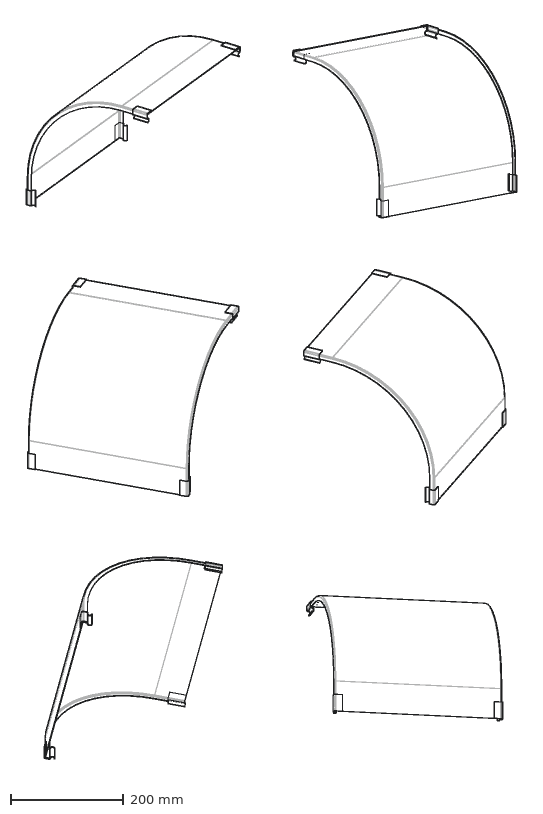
import cadquery as cq
import math

OVERALL_WIDTH = 306.5
SHEET = 1.5
BEND_RADIUS = 200.0
STRAIGHT = 55.0
FLANGE_HEIGHT = 9.2
COVER_CORNER = 2.5

CLIP_LENGTH = 30.3
CLIP_REACH = 16.0
CLIP_CORNER = 3.0
HOOK_RADIUS = 3.0

COVER_HALF_WIDTH = OVERALL_WIDTH / 2 - SHEET
HALF_TURN_POINT = math.sqrt(0.5)


def channel_solid_section(half_width, top, bottom, corner):
    """Rectangle in the YZ plane with both upper corners rounded."""
    mid = corner * (1 - HALF_TURN_POINT)
    return (
        cq.Workplane("YZ", origin=(STRAIGHT, 0, 0))
        .moveTo(-half_width, bottom)
        .lineTo(-half_width, top - corner)
        .threePointArc((-half_width + mid, top - mid), (-half_width + corner, top))
        .lineTo(half_width - corner, top)
        .threePointArc((half_width - mid, top - mid), (half_width, top - corner))
        .lineTo(half_width, bottom)
        .close()
    )


def follow_bend(section):
    """Sweep a section along flat run, quarter bend and second flat run."""
    path = (
        cq.Workplane("XZ")
        .moveTo(STRAIGHT, BEND_RADIUS)
        .lineTo(0, BEND_RADIUS)
        .threePointArc(
            (-BEND_RADIUS * HALF_TURN_POINT, BEND_RADIUS * HALF_TURN_POINT),
            (-BEND_RADIUS, 0),
        )
        .lineTo(-BEND_RADIUS, -STRAIGHT)
    )
    return section.sweep(path)


def make_cover():
    """Thin curved skin with a flange along both sides."""
    bottom = BEND_RADIUS - FLANGE_HEIGHT
    outside = channel_solid_section(COVER_HALF_WIDTH, BEND_RADIUS, bottom, COVER_CORNER)
    inside = channel_solid_section(
        COVER_HALF_WIDTH - SHEET, BEND_RADIUS - SHEET, bottom, COVER_CORNER - SHEET
    )
    return follow_bend(outside).cut(follow_bend(inside))


def make_clip():
    """Clip on the top flat run at the -Y side: leaf, folded side and curled lip."""
    side = -OVERALL_WIDTH / 2
    top = BEND_RADIUS + SHEET
    fold_mid = CLIP_CORNER * (1 - HALF_TURN_POINT)
    inner_fold = CLIP_CORNER - SHEET
    inner_mid = SHEET + inner_fold * (1 - HALF_TURN_POINT)
    under_top = BEND_RADIUS - FLANGE_HEIGHT
    under_bottom = under_top - SHEET
    fold_y = side + CLIP_CORNER
    hook_z = under_bottom - HOOK_RADIUS
    hook_outer = HOOK_RADIUS + SHEET
    return (
        cq.Workplane("YZ", origin=(STRAIGHT - CLIP_LENGTH, 0, 0))
        .moveTo(side + CLIP_REACH, top)
        .lineTo(fold_y, top)
        .threePointArc((side + fold_mid, top - fold_mid), (side, top - CLIP_CORNER))
        .lineTo(side, under_bottom + CLIP_CORNER)
        .threePointArc((side + fold_mid, under_bottom + fold_mid), (fold_y, under_bottom))
        .threePointArc((fold_y + HOOK_RADIUS, hook_z), (fold_y, hook_z - HOOK_RADIUS))
        .lineTo(fold_y, hook_z - hook_outer)
        .threePointArc((fold_y + hook_outer, hook_z), (fold_y, under_top))
        .lineTo(side + SHEET, under_top)
        .lineTo(side + SHEET, top - CLIP_CORNER)
        .threePointArc((side + inner_mid, top - inner_mid), (fold_y, BEND_RADIUS))
        .lineTo(side + CLIP_REACH, BEND_RADIUS)
        .close()
        .extrude(CLIP_LENGTH)
    )


cover = make_cover()

clips = []
top_clip = make_clip()
lower_clip = top_clip.rotate((0, 0, 0), (0, 1, 0), -90).mirror("XY")
for clip in (top_clip, lower_clip):
    clips.append(clip.val())
    clips.append(clip.mirror("XZ").val())

result = cq.Compound.makeCompound([cover.val(), *clips])